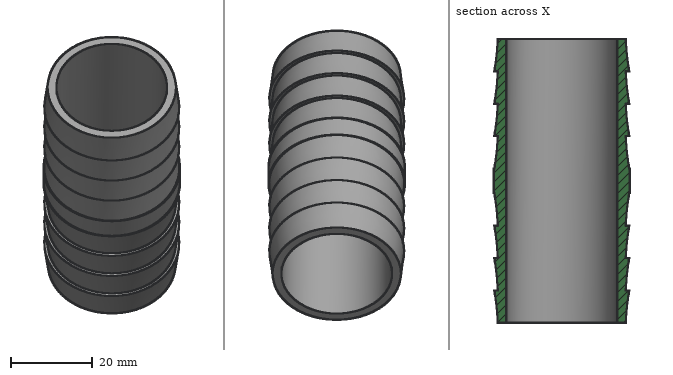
import cadquery as cq

length = 70.0
collar_diameter = 33.7
collar_height = 6.0
bore_diameter = 27.3

barbs_per_side = 4
barb_crest_diameter = 33.3
barb_root_diameter = 31.65
barb_height = (length - collar_height) / (2 * barbs_per_side)


def make_barb(base_z, base_diameter, top_diameter):
    """Solid cone frustum standing on the plane z = base_z."""
    return cq.Workplane("XY").add(
        cq.Solid.makeCone(
            base_diameter / 2,
            top_diameter / 2,
            barb_height,
            pnt=cq.Vector(0, 0, base_z),
        )
    )


body = cq.Workplane("XY").circle(collar_diameter / 2).extrude(collar_height / 2, both=True)

for index in range(barbs_per_side):
    inner_z = collar_height / 2 + index * barb_height
    outer_z = inner_z + barb_height
    body = body.union(make_barb(inner_z, barb_crest_diameter, barb_root_diameter))
    body = body.union(make_barb(-outer_z, barb_root_diameter, barb_crest_diameter))

bore = cq.Workplane("XY").circle(bore_diameter / 2).extrude(length, both=True)
result = body.cut(bore)